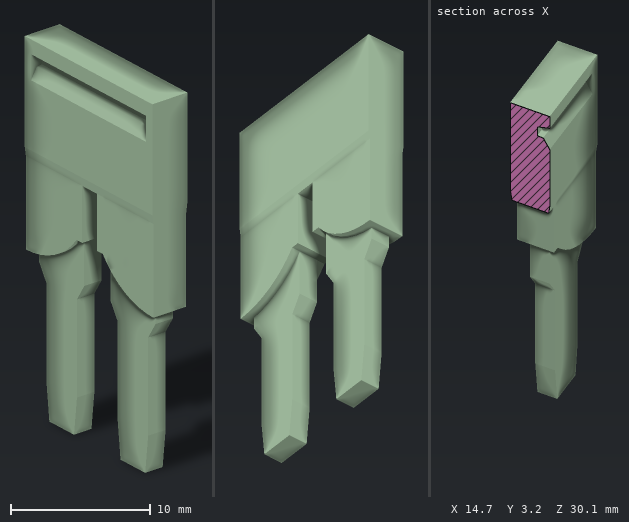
import cadquery as cq
import math

WIDTH = 14.7
HEAD_THICKNESS = 3.2
HEIGHT = 30.12

SKIRT_THICKNESS = 3.0
HEAD_BOTTOM_Z = HEIGHT - 8.8
SKIRT_TOP_Z = HEAD_BOTTOM_Z - 0.72
HOUSING_BOTTOM_Z = HEIGHT - 16.95

GAP_WIDTH = 1.7
CURVE_TOP_Z = HEIGHT - 14.04

SLOT_WIDTH = 13.24
SLOT_TOP_Z = HEIGHT - 1.18
SLOT_BOTTOM_Z = HEIGHT - 3.24
SLOT_DEPTH = 1.0
SLOT_ROOF_DROP = 0.28
LEDGE_Z = HEIGHT - 2.32
LEDGE_RISE = 0.04
SILL_ANGLE = 30

LEG_PITCH = 8.2
LEG_THICKNESS = 1.6
SHOULDER_WIDTH = 5.2
BLADE_WIDTH = 3.52
TIP_WIDTH = 2.84
SHOULDER_BOTTOM_Z = HEIGHT - 17.9
BLADE_TOP_Z = HEIGHT - 19.27
TIP_START_Z = 3.07


def make_housing():
    """Housing side profile in YZ, extruded across the full width."""
    head_y = HEAD_THICKNESS / 2
    skirt_y = SKIRT_THICKNESS / 2
    return (
        cq.Workplane("YZ")
        .moveTo(-head_y, HEIGHT)
        .lineTo(head_y, HEIGHT)
        .lineTo(head_y, HEAD_BOTTOM_Z)
        .lineTo(skirt_y, SKIRT_TOP_Z)
        .lineTo(skirt_y, HOUSING_BOTTOM_Z)
        .lineTo(-skirt_y, HOUSING_BOTTOM_Z)
        .lineTo(-skirt_y, SKIRT_TOP_Z)
        .lineTo(-head_y, HEAD_BOTTOM_Z)
        .close()
        .extrude(WIDTH / 2, both=True)
    )


def make_skirt_opening():
    """Central gap that flares below into arcs level with the outer bottom corners."""
    gap_x = GAP_WIDTH / 2
    curve_x = LEG_PITCH / 2 - SHOULDER_WIDTH / 2
    corner_x = WIDTH / 2

    rise = CURVE_TOP_Z - HOUSING_BOTTOM_Z
    run = corner_x - curve_x
    radius = (run**2 + rise**2) / (2 * rise)
    half_sweep = math.atan2(rise, run)
    mid_x = corner_x - radius * math.sin(half_sweep)
    mid_z = HOUSING_BOTTOM_Z + radius * (1 - math.cos(half_sweep))

    return (
        cq.Workplane("XZ")
        .moveTo(-gap_x, SKIRT_TOP_Z)
        .lineTo(gap_x, SKIRT_TOP_Z)
        .lineTo(gap_x, CURVE_TOP_Z)
        .lineTo(curve_x, CURVE_TOP_Z)
        .threePointArc((mid_x, mid_z), (corner_x, HOUSING_BOTTOM_Z))
        .lineTo(-corner_x, HOUSING_BOTTOM_Z)
        .threePointArc((-mid_x, mid_z), (-curve_x, CURVE_TOP_Z))
        .lineTo(-gap_x, CURVE_TOP_Z)
        .close()
        .extrude(HEAD_THICKNESS, both=True)
    )


def make_grip_slot():
    """Slot with a sloping sill, a ledge, a vertical back wall and a sloping roof."""
    face_y = -HEAD_THICKNESS / 2
    back_y = face_y + SLOT_DEPTH
    sill_depth = (LEDGE_Z - SLOT_BOTTOM_Z) * math.tan(math.radians(SILL_ANGLE))
    return (
        cq.Workplane("YZ")
        .moveTo(face_y, SLOT_BOTTOM_Z)
        .lineTo(face_y + sill_depth, LEDGE_Z)
        .lineTo(back_y, LEDGE_Z + LEDGE_RISE)
        .lineTo(back_y, SLOT_TOP_Z - SLOT_ROOF_DROP)
        .lineTo(face_y, SLOT_TOP_Z)
        .close()
        .extrude(SLOT_WIDTH / 2, both=True)
    )


def make_leg(center_x):
    """Flat leg with a wide shoulder, a narrower blade and a tapered tip."""
    return (
        cq.Workplane("XZ", origin=(center_x, 0, 0))
        .moveTo(-TIP_WIDTH / 2, 0)
        .lineTo(TIP_WIDTH / 2, 0)
        .lineTo(BLADE_WIDTH / 2, TIP_START_Z)
        .lineTo(BLADE_WIDTH / 2, BLADE_TOP_Z)
        .lineTo(SHOULDER_WIDTH / 2, SHOULDER_BOTTOM_Z)
        .lineTo(SHOULDER_WIDTH / 2, CURVE_TOP_Z)
        .lineTo(-SHOULDER_WIDTH / 2, CURVE_TOP_Z)
        .lineTo(-SHOULDER_WIDTH / 2, SHOULDER_BOTTOM_Z)
        .lineTo(-BLADE_WIDTH / 2, BLADE_TOP_Z)
        .lineTo(-BLADE_WIDTH / 2, TIP_START_Z)
        .close()
        .extrude(LEG_THICKNESS / 2, both=True)
    )


result = make_housing().cut(make_skirt_opening()).cut(make_grip_slot())
for side in (-1, 1):
    result = result.union(make_leg(side * LEG_PITCH / 2))